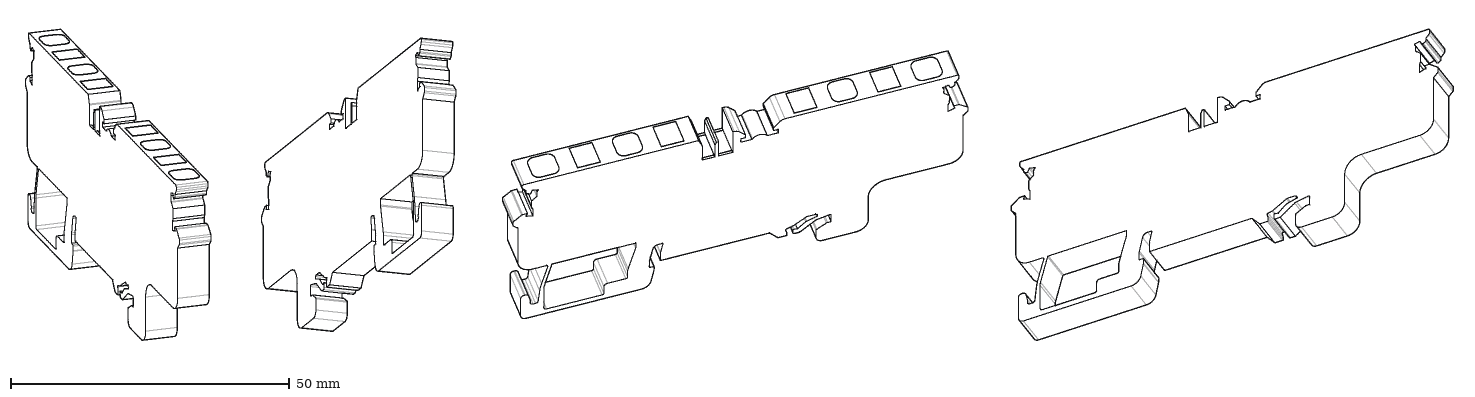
import cadquery as cq
import math

LENGTH = 86.2
THICKNESS = 6.0
HEIGHT = 37.4

HALF_LENGTH = LENGTH / 2
WALL_X = 42.15
SHOULDER_Z = 13.3
BODY_BOTTOM_Z = 6.6
SHOULDER_RADIUS = 2.8
FOOT_SHOULDER_RADIUS = 3.4

SLOT_FLOOR_Z = 31.7
SLOT_WALL = 0.5
LEFT_SLOT = (-7.2, -4.8)
RIGHT_SLOT = (-4.1, -1.5)
SLOT_LEAD_IN = 0.7
BLADE_TOP_Z = 35.7
BLADE_CHAMFER_WIDTH = 0.3
BLADE_CHAMFER_HEIGHT = 0.7

TROUGH_CENTER_X = 3.6
TROUGH_FLOOR_Z = 34.0
TROUGH_HALF_WIDTH = 3.5
LIP_HALF_WIDTH = 2.7
LIP_BOTTOM_Z = 34.9
LIP_TOP_Z = 35.7
MOUTH_HALF_WIDTH = 4.2
MOUTH_RADIUS = 1.3
HUMP_HALF_WIDTH = 1.5
HUMP_APEX_Z = TROUGH_FLOOR_Z + 1.8
HUMP_RADIUS = 1.7

LEFT_FOOT_X = -41.6
RIGHT_FOOT_X = 24.2
RIGHT_FOOT_BOTTOM_Z = 0.9
TONGUE_BOTTOM_Z = 4.7

MARK_DEPTH = 0.1
MARK_WIDTH = 4.8
MARK_Y = 0.2
SCREW_MARK_RADIUS = 1.3
SQUARE_MARK_LENGTH = 4.3
SQUARE_MARK_X = (12.6, 28.45)
INNER_SCREW_MARK = (20.35, 4.8)
OUTER_SCREW_MARK = (36.3, 5.1)

END_PROFILE = [
    (41.4, HEIGHT, 0.35),
    (41.4, 36.4, 0.7),
    (40.6, 35.4, 0),
    (40.6, 34.8, 0.3),
    (39.8, 34.2, 0.3),
    (39.4, 35.25, 0.2),
    (38.3, 34.9, 0),
    (38.5, 34.5, 0),
    (38.5, 33.3, 0.2),
    (39.6, 32.3, 0),
    (39.6, 30.4, 0),
    (39.3, 29.8, 0),
    (39.3, 28.0, 0),
    (40.6, 28.45, 0),
    (40.3, 29.1, 0),
    (41.4, 29.1, 0.3),
    (HALF_LENGTH, 27.75, 0.4),
    (HALF_LENGTH, 26.7, 0.4),
    (WALL_X, 25.7, 0),
    (WALL_X, SHOULDER_Z, SHOULDER_RADIUS),
]


def mirrored(corners):
    """Mirror corners about X = 0, keeping the direction of travel around the outline."""
    return [(-x, z, radius) for x, z, radius in reversed(corners)]


def rounded_outline(corners):
    """Closed XZ outline through (x, z, radius) corners, each rounded by a tangent arc."""
    points = [cq.Vector(x, z, 0) for x, z, _ in corners]
    bends = []
    for i, corner in enumerate(points):
        radius = corners[i][2]
        back = (points[i - 1] - corner).normalized()
        ahead = (points[(i + 1) % len(points)] - corner).normalized()
        if radius == 0:
            bends.append((corner, corner, corner))
            continue
        half_angle = back.getAngle(ahead) / 2
        setback = radius / math.tan(half_angle)
        to_arc_middle = radius / math.sin(half_angle) - radius
        middle = corner + (back + ahead).normalized() * to_arc_middle
        bends.append((corner + back * setback, middle, corner + ahead * setback))

    first = bends[0][2]
    outline = cq.Workplane("XZ", origin=(0, THICKNESS / 2, 0)).moveTo(first.x, first.y)
    for start, middle, end in bends[1:] + bends[:1]:
        outline = outline.lineTo(start.x, start.y)
        if start is not end:
            outline = outline.threePointArc((middle.x, middle.y), (end.x, end.y))
    return outline.close()


def slots_and_blade():
    """The two slots in the top edge and the thin blade left standing between them."""
    return [
        (LEFT_SLOT[0] - SLOT_LEAD_IN, HEIGHT, 0),
        (LEFT_SLOT[0], BLADE_TOP_Z, 0.4),
        (LEFT_SLOT[0], SLOT_FLOOR_Z, 0),
        (LEFT_SLOT[1], SLOT_FLOOR_Z, 0),
        (LEFT_SLOT[1], BLADE_TOP_Z - BLADE_CHAMFER_HEIGHT, 0),
        (LEFT_SLOT[1] + BLADE_CHAMFER_WIDTH, BLADE_TOP_Z, 0),
        (RIGHT_SLOT[0], BLADE_TOP_Z, 0),
        (RIGHT_SLOT[0], SLOT_FLOOR_Z, 0),
        (RIGHT_SLOT[1], SLOT_FLOOR_Z, 0),
        (RIGHT_SLOT[1], HEIGHT, 0),
    ]


def trough():
    """Trough with its lips and hump; the half profile is measured from its centre line."""
    right_half = [
        (HUMP_HALF_WIDTH, TROUGH_FLOOR_Z, 0),
        (TROUGH_HALF_WIDTH, TROUGH_FLOOR_Z, 0),
        (TROUGH_HALF_WIDTH, LIP_BOTTOM_Z, 0),
        (LIP_HALF_WIDTH, LIP_BOTTOM_Z, 0),
        (LIP_HALF_WIDTH, LIP_TOP_Z, 0),
        (MOUTH_HALF_WIDTH, HEIGHT, MOUTH_RADIUS),
    ]
    hump = [(0, HUMP_APEX_Z, HUMP_RADIUS)]
    profile = mirrored(right_half) + hump + right_half
    return [(TROUGH_CENTER_X + x, z, radius) for x, z, radius in profile]


def right_foot():
    """Fixed rail hook and its spring tongue, from the right shoulder to the body bottom."""
    return [
        (RIGHT_FOOT_X, SHOULDER_Z, FOOT_SHOULDER_RADIUS),
        (RIGHT_FOOT_X, RIGHT_FOOT_BOTTOM_Z, 2.5),
        (14.3, RIGHT_FOOT_BOTTOM_Z, 1.2),
        (14.3, 4.3, 0.3),
        (16.4, 5.5, 0.4),
        (17.15, 5.5, 0),
        (17.15, 7.6, 0.3),
        (14.3, 7.1, 0.9),
        (11.2, TONGUE_BOTTOM_Z, 0),
        (9.9, TONGUE_BOTTOM_Z, 0.35),
        (9.9, 6.0, 0.2),
        (10.8, 5.9, 0),
        (12.4, 7.3, 0.4),
        (14.9, 8.1, 0.3),
        (14.2, 8.6, 0),
        (12.6, 8.6, 0.35),
        (9.65, 6.8, 0.4),
        (8.5, 6.55, 0.3),
        (8.8, 5.4, 0),
        (8.8, TONGUE_BOTTOM_Z, 0.2),
        (7.1, TONGUE_BOTTOM_Z, 0),
        (5.5, BODY_BOTTOM_Z, 0),
    ]


def left_foot():
    """Latching rail foot hanging on its flexible arm, from the body bottom to the left shoulder."""
    return [
        (-15.2, BODY_BOTTOM_Z, 0),
        (-15.2, 8.8, 0.9),
        (-14.65, 11.3, 0.2),
        (-16.4, 11.3, 1.0),
        (-17.2, 7.3, 1.7),
        (-17.2, 5.5, 0),
        (-16.3, 5.4, 0.2),
        (-16.4, 4.3, 0.9),
        (-17.2, 0, 2.0),
        (LEFT_FOOT_X, 0, 1.0),
        (LEFT_FOOT_X, 6.55, 0.7),
        (-40.25, 6.55, 0.7),
        (-39.7, 4.5, 0.3),
        (-39.9, 3.5, 0.5),
        (-38.4, 3.5, 0.5),
        (-37.9, 7.7, 12.1),
        (-36.5, SHOULDER_Z - 0.3, 0.3),
        (-36.7, SHOULDER_Z, 0),
    ]


def window():
    """Opening between the flexible arm and the rigid part of the left foot."""
    return [
        (-35.7, SHOULDER_Z, 0.2),
        (-37.2, 7.4, 2.6),
        (-37.2, 1.2, 0.5),
        (-25.9, 1.2, 0.35),
        (-25.9, 4.05, 0.7),
        (-21.4, 4.05, 0.35),
        (-21.4, 6.3, 2.6),
        (-19.8, 12.0, 0.9),
        (-19.8, SHOULDER_Z, 0),
    ]


def body():
    top_edge = slots_and_blade() + trough()
    feet = right_foot() + left_foot()
    outline = top_edge + END_PROFILE + feet + mirrored(END_PROFILE)
    plate = rounded_outline(outline).extrude(THICKNESS)
    opening = rounded_outline(window()).extrude(THICKNESS)
    return plate.cut(opening)


def recess(center_x, center_y, top_z, length, width):
    """Shallow rectangular cutter whose upper face lies at top_z."""
    return (
        cq.Workplane("XY", origin=(center_x, center_y, top_z - MARK_DEPTH))
        .rect(length, width)
        .extrude(MARK_DEPTH)
    )


result = body()

for side in (-1, 1):
    for mark_x in SQUARE_MARK_X:
        result = result.cut(recess(side * mark_x, MARK_Y, HEIGHT, SQUARE_MARK_LENGTH, MARK_WIDTH))
    for mark_x, mark_length in (INNER_SCREW_MARK, OUTER_SCREW_MARK):
        screw_mark = recess(side * mark_x, MARK_Y, HEIGHT, mark_length, MARK_WIDTH)
        result = result.cut(screw_mark.edges("|Z").fillet(SCREW_MARK_RADIUS))

for slot_start, slot_end in (LEFT_SLOT, RIGHT_SLOT):
    slot_center = (slot_start + slot_end) / 2
    slot_length = slot_end - slot_start
    result = result.cut(recess(slot_center, 0, SLOT_FLOOR_Z, slot_length, THICKNESS - 2 * SLOT_WALL))